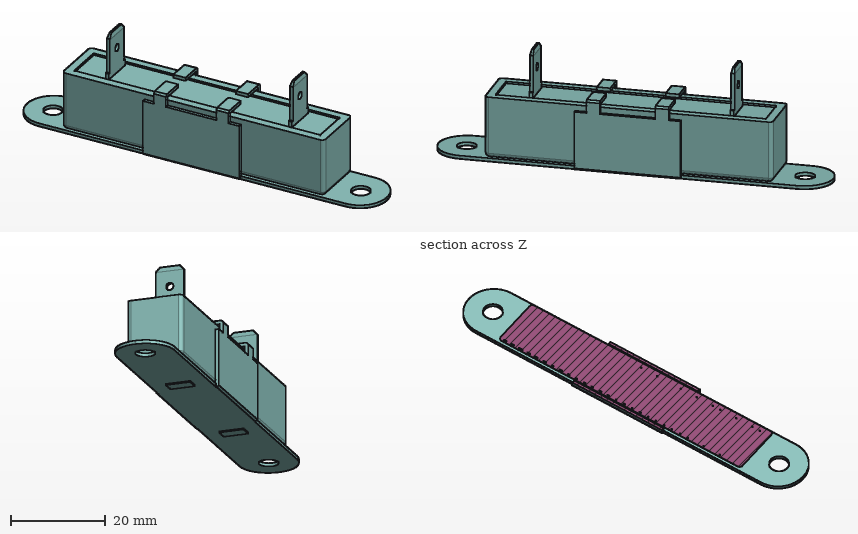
import cadquery as cq

plate_length = 86.5
plate_width = 13.0
plate_end_radius = 6.4
sheet = 0.8
mount_hole_spacing = 74.05
mount_hole_diameter = 4.2

pad_length = 2.85
pad_width = 5.5
pad_height = 0.3
pad_spacing = 32.0

housing_length = 63.0
housing_width = 12.45
housing_top = 14.4
corner_radius = 0.9
bottom_radius = 1.0
rim_width = 1.9
recess_depth = 0.4

clip_length = 23.2
clip_width = 14.1
clip_wall_top = 13.1
clip_chamfer = 0.4
tab_width = 2.9
tab_spacing = 15.05
tab_top = 15.9
tab_tip_gap = 3.3

blade_spacing = 44.0
blade_thickness = 0.8
blade_width = 6.3
blade_top = 24.5
blade_hole_diameter = 1.65
blade_hole_height = 19.9
shoulder_width = 7.35
shoulder_top = 15.3
tip_height = 1.0
tip_side_inset = 0.95
tip_face_inset = 0.2

recess_floor = housing_top - recess_depth
sides = (-1, 1)


def block(length, width, bottom, top):
    """Box centred on the Z axis, from height bottom to height top."""
    return cq.Workplane("XY").workplane(offset=bottom).rect(length, width).extrude(top - bottom)


def make_plate():
    plate = block(plate_length, plate_width, 0, sheet).edges("|Z").fillet(plate_end_radius)
    holes = cq.Workplane("XY").rarray(mount_hole_spacing, 0.9, 2, 1).circle(mount_hole_diameter / 2)
    pads = cq.Workplane("XY").rarray(pad_spacing, 0.9, 2, 1).rect(pad_length, pad_width)
    return plate.cut(holes.extrude(sheet)).union(pads.extrude(-pad_height))


def make_housing():
    housing = block(housing_length, housing_width, sheet, housing_top)
    housing = housing.edges("|Z").fillet(corner_radius)
    housing = housing.faces("<Z").edges().fillet(bottom_radius)
    recess = block(
        housing_length - 2 * rim_width, housing_width - 2 * rim_width, recess_floor, housing_top
    )
    return housing.cut(recess)


def make_clip():
    clip = block(clip_length, clip_width, 0, clip_wall_top)
    clip = clip.edges("|X and <Z").chamfer(clip_chamfer)
    clip = clip.cut(block(clip_length, housing_width, sheet, clip_wall_top))

    bridge = block(tab_width, clip_width, clip_wall_top, tab_top)
    bridge = bridge.edges("|X and >Z").chamfer(clip_chamfer)
    bridge = bridge.cut(block(tab_width, housing_width, clip_wall_top, tab_top - sheet))
    tabs = bridge.cut(block(tab_width, tab_tip_gap, clip_wall_top, tab_top))
    for side in sides:
        clip = clip.union(tabs.translate((side * tab_spacing / 2, 0, 0)))
    return clip


def make_blade():
    tip_base = blade_top - tip_height
    blade = block(blade_thickness, shoulder_width, recess_floor, shoulder_top)
    blade = blade.union(block(blade_thickness, blade_width, shoulder_top, tip_base))
    tip = (
        cq.Workplane("XY")
        .workplane(offset=tip_base)
        .rect(blade_thickness, blade_width)
        .workplane(offset=tip_height)
        .rect(blade_thickness - 2 * tip_face_inset, blade_width - 2 * tip_side_inset)
        .loft(ruled=True)
    )
    hole = (
        cq.Workplane("YZ")
        .center(0, blade_hole_height)
        .circle(blade_hole_diameter / 2)
        .extrude(blade_thickness, both=True)
    )
    return blade.union(tip).cut(hole)


result = make_plate().union(make_housing()).union(make_clip())
for side in sides:
    result = result.union(make_blade().translate((side * blade_spacing / 2, 0, 0)))